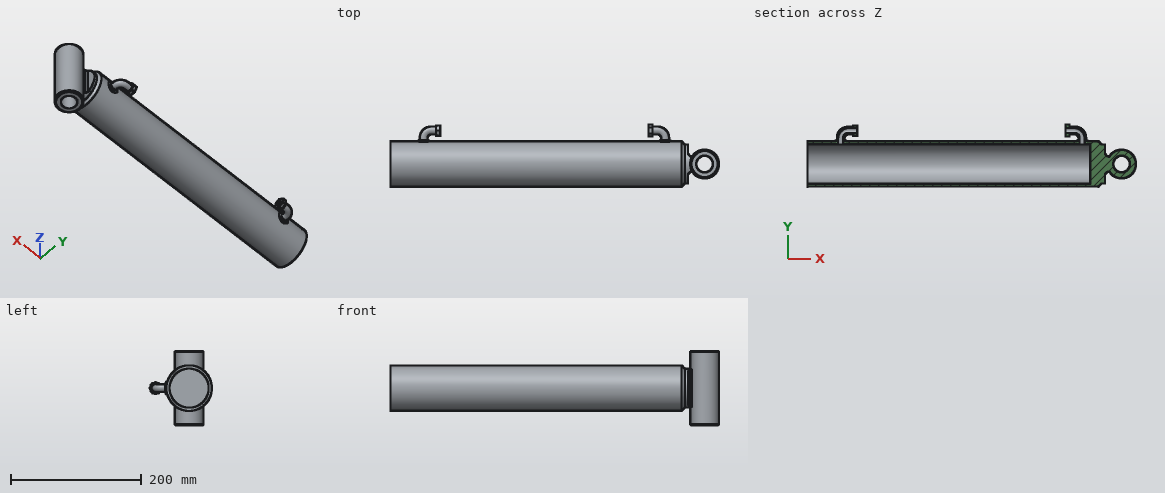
import cadquery as cq
import math

total_length = 503.0
barrel_diameter = 70.0
bore_diameter = 60.0
barrel_length = 450.5
cap_inner_face = 432.5
cap_end = 455.5

eye_diameter = 44.5
eye_bore = 25.0
eye_height = 114.0
eye_chamfer = 2.0
eye_x = total_length - eye_diameter / 2

neck_root_width = 31.5
neck_crease = 458.0
neck_crease_width = 25.0
neck_end = 462.5
neck_end_width = 22.0

port_positions = (51.0, 420.5)
pipe_diameter = 12.5
pipe_bore = 7.5
pipe_axis_y = 51.5
bend_radius = 11.5
straight_length = 7.5
nut_length = 6.5
nut_across_flats = 16.0
nut_across_corners = nut_across_flats / math.cos(math.pi / 6)
port_weld_diameter = 19.5
port_weld_top = 36.5

barrel_radius = barrel_diameter / 2
bore_radius = bore_diameter / 2
barrel_chamfer = barrel_radius - bore_radius


def x_cylinder(start, end, diameter):
    return cq.Workplane("YZ", origin=(start, 0, 0)).circle(diameter / 2).extrude(end - start)


def make_barrel():
    """Tube with a bevelled closed end and a protruding end cap."""
    tube = x_cylinder(0, barrel_length, barrel_diameter).faces(">X").chamfer(barrel_chamfer)
    tube = tube.cut(x_cylinder(0, cap_inner_face, bore_diameter))
    return tube.union(x_cylinder(cap_inner_face, cap_end, bore_diameter))


def make_eye():
    """Upright pivot sleeve with bevelled outer rims, before boring."""
    sleeve = cq.Workplane("XY").circle(eye_diameter / 2).extrude(eye_height / 2, both=True)
    return sleeve.edges().chamfer(eye_chamfer).translate((eye_x, 0, 0))


def make_eye_neck():
    """Continuation of the end cap, flattened to a wedge that runs into the pivot sleeve."""
    wedge = (
        cq.Workplane("XY")
        .moveTo(cap_end, neck_root_width / 2)
        .lineTo(neck_crease, neck_crease_width / 2)
        .lineTo(neck_end, neck_end_width / 2)
        .lineTo(neck_end, -neck_end_width / 2)
        .lineTo(neck_crease, -neck_crease_width / 2)
        .lineTo(cap_end, -neck_root_width / 2)
        .close()
        .extrude(bore_diameter / 2, both=True)
    )
    return x_cylinder(cap_end, neck_end, bore_diameter).intersect(wedge)


def elbow(x, direction, start_y, diameter, end_length):
    """Round bar rising along Y, turning a quarter circle and running along X."""
    bend_start = pipe_axis_y - bend_radius
    bend_end_x = x + direction * bend_radius
    diagonal = bend_radius * math.sqrt(0.5)
    middle = (bend_end_x - direction * diagonal, bend_start + diagonal)
    path = (
        cq.Workplane("XY")
        .moveTo(x, start_y)
        .lineTo(x, bend_start)
        .threePointArc(middle, (bend_end_x, pipe_axis_y))
        .lineTo(bend_end_x + direction * end_length, pipe_axis_y)
    )
    return cq.Workplane("XZ", origin=(x, start_y, 0)).circle(diameter / 2).sweep(path)


def make_fitting(x, direction, nut_turn):
    """Port elbow with a weld collar and a hexagonal nut."""
    root_y = (barrel_radius + bore_radius) / 2
    pipe = elbow(x, direction, root_y, pipe_diameter, straight_length)
    weld = (
        cq.Workplane("XY")
        .moveTo(x, root_y)
        .lineTo(x + port_weld_diameter / 2, root_y)
        .lineTo(x + port_weld_diameter / 2, barrel_radius)
        .lineTo(x + pipe_diameter / 2, port_weld_top)
        .lineTo(x, port_weld_top)
        .close()
        .revolve(360, (x, 0, 0), (x, 1, 0))
    )
    nut_x = x + direction * (bend_radius + straight_length)
    nut = (
        cq.Workplane("YZ")
        .polygon(6, nut_across_corners)
        .extrude(direction * nut_length)
        .rotate((0, 0, 0), (1, 0, 0), nut_turn)
        .translate((nut_x, pipe_axis_y, 0))
    )
    return pipe.union(weld).union(nut)


result = make_barrel().union(make_eye_neck()).union(make_eye())
eye_hole = cq.Workplane("XY").center(eye_x, 0).circle(eye_bore / 2).extrude(eye_height, both=True)
result = result.cut(eye_hole)

for port_x, port_direction, port_nut_turn in zip(port_positions, (1, -1), (30, 0)):
    result = result.union(make_fitting(port_x, port_direction, port_nut_turn))
    passage_start = bore_radius - pipe_bore
    passage_end = straight_length + nut_length
    result = result.cut(elbow(port_x, port_direction, passage_start, pipe_bore, passage_end))